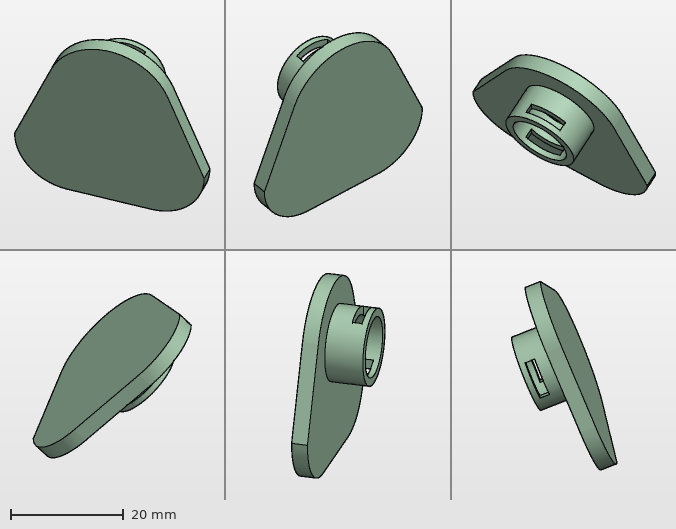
import cadquery as cq
import math

plate_width = 35.92
plate_height = 34.0
plate_thickness = 2.95
top_radius = 12.0
corner_radius = 10.0

total_depth = 10.0
boss_radius = 7.0
boss_wall = 1.5
slot_width = 7.0
slot_thickness = 1.83
slot_end_gap = 1.15

half_width = plate_width / 2
bottom_z = top_radius - plate_height
corner_z = bottom_z + corner_radius
corner_x = half_width - corner_radius
corner_diagonal = corner_radius * math.sqrt(0.5)

corner_distance = math.hypot(half_width, corner_z)
tangent_angle = math.atan2(corner_z, half_width) + math.acos(top_radius / corner_distance)
tangent_x = top_radius * math.cos(tangent_angle)
tangent_z = top_radius * math.sin(tangent_angle)


def make_plate():
    """Rounded triangular plate, front face at Y = 0."""
    outline = (
        cq.Workplane("XZ")
        .moveTo(-corner_x, bottom_z)
        .lineTo(corner_x, bottom_z)
        .threePointArc(
            (corner_x + corner_diagonal, corner_z - corner_diagonal),
            (half_width, corner_z),
        )
        .lineTo(tangent_x, tangent_z)
        .threePointArc((0, top_radius), (-tangent_x, tangent_z))
        .lineTo(-half_width, corner_z)
        .threePointArc(
            (-corner_x - corner_diagonal, corner_z - corner_diagonal),
            (-corner_x, bottom_z),
        )
        .close()
    )
    return outline.extrude(-plate_thickness)


def make_boss():
    """Tubular boss standing on the back face, bored down to the plate."""
    boss_length = total_depth - plate_thickness
    return (
        cq.Workplane("XZ", origin=(0, plate_thickness, 0))
        .circle(boss_radius)
        .circle(boss_radius - boss_wall)
        .extrude(-boss_length)
    )


def make_slot():
    """Rectangular slot passing through both boss walls along Z."""
    slot_y = total_depth - slot_end_gap - slot_thickness / 2
    slot = cq.Workplane("XY").box(slot_width, slot_thickness, 2 * boss_radius)
    return slot.translate((0, slot_y, 0))


result = make_plate().union(make_boss()).cut(make_slot())